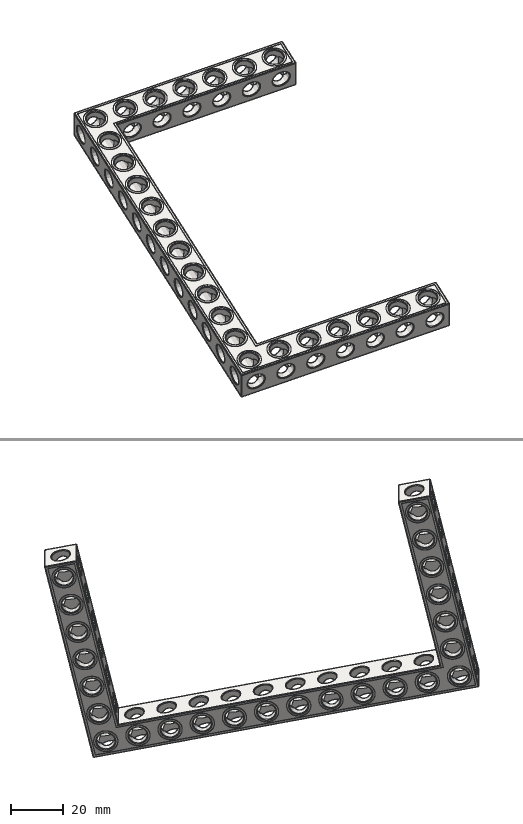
import cadquery as cq

HOLES_ALONG_BASE = 12
HOLES_ALONG_ARM = 7
LENGTH = 150.0
PITCH = LENGTH / HOLES_ALONG_BASE
DEPTH = HOLES_ALONG_ARM * PITCH
MID_BEAM = PITCH / 2

EDGE_CHAMFER = 0.3
HOLE_DIAMETER = 7.0

RECESS_DEPTH = 0.2
LIP_WIDTH = 1.08
RING_DIAMETER = HOLE_DIAMETER + 2 * LIP_WIDTH


def hole_position(index):
    """Distance from the outer corner to a hole, counted along the base or an arm."""
    return (index + 0.5) * PITCH


def frame_outline(inset, height):
    """U-shaped prism whose walls lie `inset` inside the frame's outer and inner walls."""
    outer = inset
    inner = PITCH - inset
    points = [
        (outer, outer),
        (LENGTH - outer, outer),
        (LENGTH - outer, DEPTH - outer),
        (LENGTH - inner, DEPTH - outer),
        (LENGTH - inner, inner),
        (inner, inner),
        (inner, DEPTH - outer),
        (outer, DEPTH - outer),
    ]
    return cq.Workplane("XY").polyline(points).close().extrude(height)


def chamfered_frame():
    """Frame with every edge chamfered except the two upright inside corners."""
    frame = frame_outline(0, PITCH)
    return frame.edges("(not |Z) or <X or >X or >Y").chamfer(EDGE_CHAMFER)


def vertical_hole_points():
    """Centres of the vertical holes: along the base, then up both arms."""
    points = [(hole_position(i), MID_BEAM) for i in range(HOLES_ALONG_BASE)]
    for j in range(1, HOLES_ALONG_ARM):
        points.append((MID_BEAM, hole_position(j)))
        points.append((LENGTH - MID_BEAM, hole_position(j)))
    return points


def recess_cutter(ring_points):
    """Recess floor between the outline lip and the hole rings, resting on Z = 0."""
    rings = cq.Workplane("XY").pushPoints(ring_points).circle(RING_DIAMETER / 2).extrude(RECESS_DEPTH)
    return frame_outline(LIP_WIDTH, RECESS_DEPTH).cut(rings)


def hole_cutter(start, direction, length):
    """Round through-hole with a chamfer at each mouth."""
    radius = HOLE_DIAMETER / 2
    mouth_radius = radius + EDGE_CHAMFER
    entry = cq.Vector(*start)
    axis = cq.Vector(*direction)
    far_chamfer = entry + axis * (length - EDGE_CHAMFER)
    bore = cq.Solid.makeCylinder(radius, length, entry, axis)
    near_mouth = cq.Solid.makeCone(mouth_radius, radius, EDGE_CHAMFER, entry, axis)
    far_mouth = cq.Solid.makeCone(radius, mouth_radius, EDGE_CHAMFER, far_chamfer, axis)
    return [bore, near_mouth, far_mouth]


def hole_cutters(vertical_points):
    """All holes; those in line with a whole beam run through its full length."""
    along_x = (1, 0, 0)
    along_y = (0, 1, 0)
    along_z = (0, 0, 1)
    cutters = []
    for x, y in vertical_points:
        cutters += hole_cutter((x, y, 0), along_z, PITCH)

    for i in range(HOLES_ALONG_BASE):
        in_arm = i in (0, HOLES_ALONG_BASE - 1)
        length = DEPTH if in_arm else PITCH
        cutters += hole_cutter((hole_position(i), 0, MID_BEAM), along_y, length)

    cutters += hole_cutter((0, MID_BEAM, MID_BEAM), along_x, LENGTH)
    for j in range(1, HOLES_ALONG_ARM):
        for arm_start in (0, LENGTH - PITCH):
            cutters += hole_cutter((arm_start, hole_position(j), MID_BEAM), along_x, PITCH)
    return cutters


hole_points = vertical_hole_points()
bottom_recess = recess_cutter(hole_points)
top_recess = bottom_recess.translate((0, 0, PITCH - RECESS_DEPTH))

body = chamfered_frame().cut(bottom_recess).cut(top_recess)
result = cq.Workplane(body.val().cut(*hole_cutters(hole_points)))